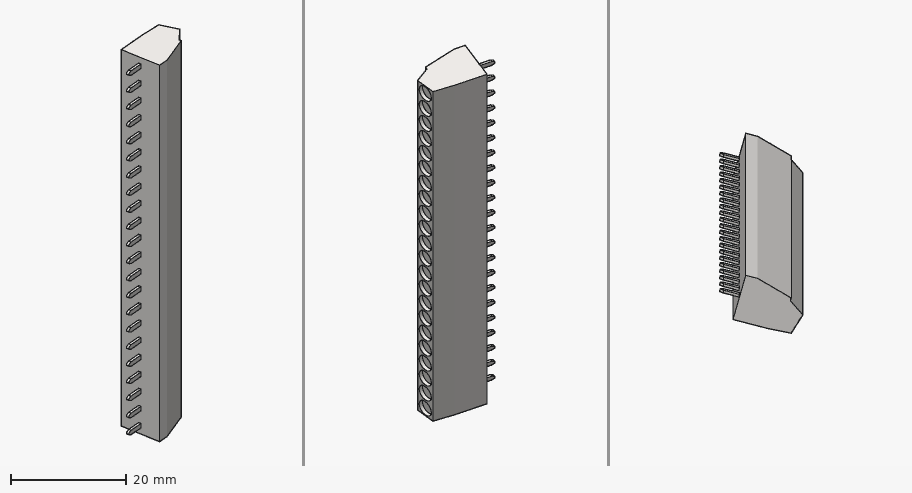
import cadquery as cq
import math

length = 77.0
pole_count = 22
pitch = length / pole_count

width = 8.4
depth = 11.5
left_bend_y = 6.2
left_top_x = 0.2
left_top_y = 10.4
ridge_x = 4.0
step_y = 8.7
step_inner_x = 5.9
step_outer_x = 6.5
right_wall_height = 2.15

entry_diameter = 3.1
entry_depth = 0.8

pin_length = 3.5
pin_x = 4.1
pin_thickness = 0.5
pin_height = 0.9
pin_taper_length = 0.6
pin_taper_angle = math.radians(25)
pin_embed = 0.4


def make_housing():
    outline = [
        (0, 0),
        (width, 0),
        (width, right_wall_height),
        (step_outer_x, step_y),
        (step_inner_x, step_y),
        (ridge_x, depth),
        (left_top_x, left_top_y),
        (0, left_bend_y),
    ]
    return cq.Workplane("XY").polyline(outline).close().extrude(length)


def make_wire_entry(z):
    """Shallow round recess, square to the slanted face."""
    run = ridge_x - left_top_x
    rise = depth - left_top_y
    slope_length = math.hypot(run, rise)
    inward = cq.Vector(rise / slope_length, -run / slope_length, 0)
    mouth = cq.Vector((ridge_x + left_top_x) / 2, (depth + left_top_y) / 2, z)
    return cq.Workplane(cq.Solid.makeCylinder(entry_diameter / 2, entry_depth, mouth, inward))


def make_pin(z):
    """Flat pin pointing to -Y; its height tapers to a round nose."""
    half_height = pin_height / 2
    sine = math.sin(pin_taper_angle)
    cosine = math.cos(pin_taper_angle)
    taper_start_y = pin_taper_length - pin_length
    nose_radius = (half_height * cosine - pin_taper_length * sine) / (1 - sine)
    nose_start_y = nose_radius * (1 - sine) - pin_length
    nose_half_height = nose_radius * cosine
    profile = (
        cq.Workplane("YZ")
        .moveTo(pin_embed, z - half_height)
        .lineTo(taper_start_y, z - half_height)
        .lineTo(nose_start_y, z - nose_half_height)
        .threePointArc((-pin_length, z), (nose_start_y, z + nose_half_height))
        .lineTo(taper_start_y, z + half_height)
        .lineTo(pin_embed, z + half_height)
        .close()
    )
    return profile.extrude(pin_thickness).translate((pin_x - pin_thickness / 2, 0, 0))


result = make_housing()
for pole in range(pole_count):
    pole_z = (pole + 0.5) * pitch
    result = result.cut(make_wire_entry(pole_z)).union(make_pin(pole_z))